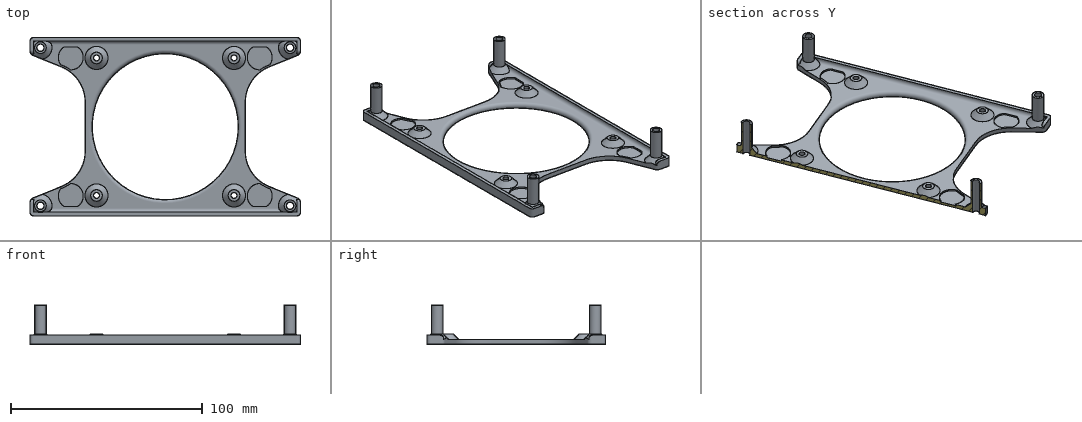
import cadquery as cq
import math

LENGTH = 141.0
WIDTH = 93.0
HEIGHT = 20.5

PLATE_THICKNESS = 2.5
RIM_HEIGHT = 5.0
RIM_WIDTH = 2.0
EDGE_RADIUS = 2.0
OPENING_DIAMETER = 76.0

WAIST_HALF_LENGTH = 41.7
WAIST_VERTEX_Y = 26.1
ARM_TIP_Y = 37.8
WAIST_RADIUS = 19.7
ARM_TIP_RADIUS = 2.5

BOSS_HEIGHT = 3.0
BOSS_TOP_DIAMETER = 6.0
BOSS_FLANK_ANGLE = 45
BOSS_BASE_DIAMETER = BOSS_TOP_DIAMETER + 2 * BOSS_HEIGHT * math.tan(math.radians(BOSS_FLANK_ANGLE))
BOSS_TOP_Z = PLATE_THICKNESS + BOSS_HEIGHT
BOSS_OFFSET = 35.8
BOSS_HOLE_DIAMETER = 3.0
POST_X = 65.0
POST_Y = 41.2
POST_DIAMETER = BOSS_TOP_DIAMETER
POST_HOLE_DIAMETER = 3.7

RECESS_X = 49.2
RECESS_Y = 36.1
RECESS_DIAMETER = 13.0
RECESS_DEPTH = 0.8
RECESS_MARGIN = 1.0


def mirrored_points(x, y):
    """The four points at (+-x, +-y)."""
    return [(sx * x, sy * y) for sx in (-1, 1) for sy in (-1, 1)]


BOSS_POINTS = mirrored_points(BOSS_OFFSET, BOSS_OFFSET)
POST_POINTS = mirrored_points(POST_X, POST_Y)
RECESS_POINTS = mirrored_points(RECESS_X, RECESS_Y)


def cylinders(points, diameter, bottom, height):
    """Upright cylinders centred on the points."""
    return cq.Workplane("XY").workplane(offset=bottom).pushPoints(points).circle(diameter / 2).extrude(height)


def fillet_uprights(solid, x, y, radius):
    """Round the four vertical edges at (+-x, +-y)."""
    for corner_x, corner_y in mirrored_points(x, y):
        solid = solid.edges("|Z").edges(cq.NearestToPointSelector((corner_x, corner_y, 0))).fillet(radius)
    return solid


def outline_prism(height):
    """The rounded plan outline, extruded up from the underside."""
    half_length = LENGTH / 2
    half_width = WIDTH / 2
    right_end = [
        (half_length, -half_width),
        (half_length, -ARM_TIP_Y),
        (WAIST_HALF_LENGTH, -WAIST_VERTEX_Y),
        (WAIST_HALF_LENGTH, WAIST_VERTEX_Y),
        (half_length, ARM_TIP_Y),
        (half_length, half_width),
    ]
    left_end = [(-x, -y) for x, y in right_end]
    prism = cq.Workplane("XY").polyline(right_end + left_end).close().extrude(height)
    prism = fillet_uprights(prism, half_length, half_width, EDGE_RADIUS)
    prism = fillet_uprights(prism, half_length, ARM_TIP_Y, ARM_TIP_RADIUS)
    return fillet_uprights(prism, WAIST_HALF_LENGTH, WAIST_VERTEX_Y, WAIST_RADIUS)


def floor_pocket():
    """Space inside the rim, with a rounded foot where the rim meets the plate."""
    pocket = (
        cq.Workplane("XY")
        .workplane(offset=PLATE_THICKNESS)
        .rect(LENGTH - 2 * RIM_WIDTH, WIDTH - 2 * RIM_WIDTH)
        .extrude(RIM_HEIGHT)
    )
    return pocket.edges("<Z").fillet(EDGE_RADIUS)


def rim_end_gap():
    """Space between facing rim ends, flaring at the top so that the ends are rounded over."""
    end_y = ARM_TIP_Y
    round_start_z = RIM_HEIGHT - EDGE_RADIUS
    return (
        cq.Workplane("YZ")
        .moveTo(-end_y, PLATE_THICKNESS)
        .lineTo(end_y, PLATE_THICKNESS)
        .lineTo(end_y, round_start_z)
        .radiusArc((end_y + EDGE_RADIUS, RIM_HEIGHT), EDGE_RADIUS)
        .lineTo(-end_y - EDGE_RADIUS, RIM_HEIGHT)
        .radiusArc((-end_y, round_start_z), EDGE_RADIUS)
        .close()
        .extrude(LENGTH / 2, both=True)
    )


def bosses(points):
    """Truncated cones standing on the plate."""
    return (
        cq.Workplane("XY")
        .workplane(offset=PLATE_THICKNESS)
        .pushPoints(points)
        .circle(BOSS_BASE_DIAMETER / 2)
        .extrude(BOSS_HEIGHT, taper=BOSS_FLANK_ANGLE)
    )


def fan_opening():
    """Round opening whose upper lip is rounded over."""
    radius = OPENING_DIAMETER / 2
    lip_radius = radius + EDGE_RADIUS
    return (
        cq.Workplane("XZ")
        .lineTo(radius, 0)
        .lineTo(radius, PLATE_THICKNESS - EDGE_RADIUS)
        .radiusArc((lip_radius, PLATE_THICKNESS), EDGE_RADIUS)
        .lineTo(0, PLATE_THICKNESS)
        .close()
        .revolve(360, (0, 0, 0), (0, 1, 0))
    )


def recesses():
    """Round recesses trimmed where they would come too close to an arm edge or the rim foot."""
    floor_z = PLATE_THICKNESS - RECESS_DEPTH
    allowed_width = WIDTH - 2 * (RIM_WIDTH + EDGE_RADIUS + RECESS_MARGIN)
    inside_edges = outline_prism(PLATE_THICKNESS).faces("<Z").wires().toPending().offset2D(-RECESS_MARGIN)
    allowed = inside_edges.extrude(PLATE_THICKNESS, combine=False)
    allowed = allowed.intersect(cq.Workplane("XY").box(LENGTH, allowed_width, HEIGHT))
    return cylinders(RECESS_POINTS, RECESS_DIAMETER, floor_z, RECESS_DEPTH).intersect(allowed)


frame = outline_prism(RIM_HEIGHT).cut(floor_pocket()).cut(rim_end_gap())
frame = frame.cut(fan_opening())
frame = frame.cut(recesses())

trimmed_bosses = bosses(BOSS_POINTS + POST_POINTS).intersect(outline_prism(BOSS_TOP_Z))
frame = frame.union(trimmed_bosses)
frame = frame.union(cylinders(POST_POINTS, POST_DIAMETER, PLATE_THICKNESS, HEIGHT - PLATE_THICKNESS))

frame = frame.cut(cylinders(BOSS_POINTS, BOSS_HOLE_DIAMETER, 0, HEIGHT))
result = frame.cut(cylinders(POST_POINTS, POST_HOLE_DIAMETER, 0, HEIGHT))